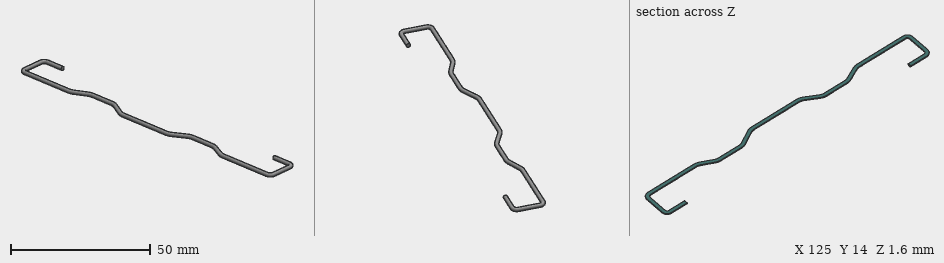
import cadquery as cq
import math

wire_diameter = 1.6
overall_length = 125.0
overall_depth = 14.0
hook_length = 10.0
side_run_height = 0.7
crest_height = 4.05
middle_half_length = 11.75
inner_ramp_angle = 29.4
crest_outer_x = 30.6
outer_ramp_foot_x = 37.35
corner_radius = 1.7
ramp_bend_radius = 4.8

wire_radius = wire_diameter / 2
end_leg_x = overall_length / 2 - wire_radius
hook_end_x = overall_length / 2 - hook_length
hook_height = overall_depth - wire_diameter
inner_ramp_run = crest_height / math.tan(math.radians(inner_ramp_angle))
crest_inner_x = middle_half_length + inner_ramp_run

right_bends = [
    (middle_half_length, 0.0, ramp_bend_radius),
    (crest_inner_x, crest_height, ramp_bend_radius),
    (crest_outer_x, crest_height, ramp_bend_radius),
    (outer_ramp_foot_x, side_run_height, ramp_bend_radius),
    (end_leg_x, side_run_height, corner_radius),
    (end_leg_x, hook_height, corner_radius),
]


def bend_points(before, corner, after, radius):
    """Start, middle and end of the arc that rounds a corner of the centreline."""
    to_before = (before - corner).normalized()
    to_after = (after - corner).normalized()
    half_angle = to_before.getAngle(to_after) / 2
    tangent_length = radius / math.tan(half_angle)
    middle_distance = radius / math.sin(half_angle) - radius
    bisector = (to_before + to_after).normalized()
    return (
        corner + to_before * tangent_length,
        corner + bisector * middle_distance,
        corner + to_after * tangent_length,
    )


def make_centreline():
    """Mirror-symmetric path from the left hook end to the right hook end."""
    left_bends = [(-x, y, radius) for x, y, radius in reversed(right_bends)]
    bends = left_bends + right_bends
    hook_start = cq.Vector(-hook_end_x, hook_height)
    hook_finish = cq.Vector(hook_end_x, hook_height)
    corners = [cq.Vector(x, y) for x, y, _ in bends]
    stops = [hook_start] + corners + [hook_finish]

    path = cq.Workplane("XY").moveTo(hook_start.x, hook_start.y)
    for index, (_, _, radius) in enumerate(bends):
        before, corner, after = stops[index:index + 3]
        start, middle, end = bend_points(before, corner, after, radius)
        path = path.lineTo(start.x, start.y)
        path = path.threePointArc((middle.x, middle.y), (end.x, end.y))
    return path.lineTo(hook_finish.x, hook_finish.y)


def make_wire_form():
    """Round wire swept along the centreline, starting at the left hook end."""
    section = cq.Workplane("YZ", origin=(-hook_end_x, hook_height, 0)).circle(wire_radius)
    return section.sweep(make_centreline())


result = make_wire_form()